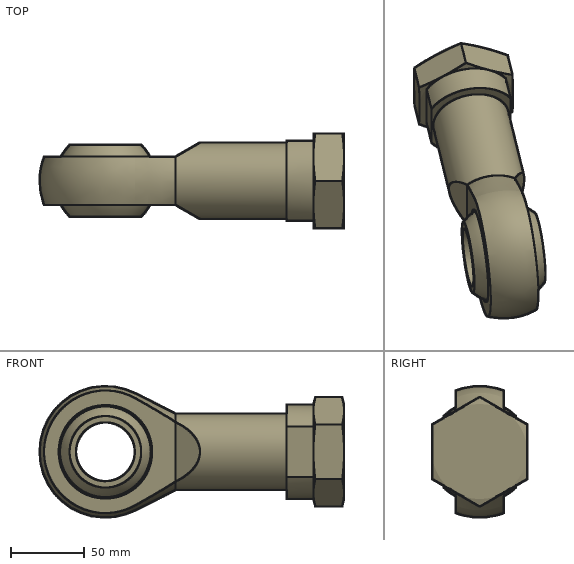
import cadquery as cq
import math

overall_length = 208.0

eye_diameter = 90.0
eye_thickness = 33.0
eye_radius = eye_diameter / 2
eye_opening_diameter = 63.9

shank_diameter = 52.5
shank_radius = shank_diameter / 2
shank_start_x = 47.8
flank_angle = 30.0

collar_start_x = 123.8
collar_diameter = 65.0
collar_flat_width = 55.0

hex_start_x = 142.0
hex_end_x = overall_length - eye_radius
hex_length = hex_end_x - hex_start_x
hex_flat_width = 65.0
hex_corner_radius = hex_flat_width / math.sqrt(3)
hex_chamfer_length = 1.2
hex_face_radius = hex_flat_width / 2

ball_width = 49.3
ball_face_diameter = 48.9
ball_bore_diameter = 40.0
ball_radius = math.hypot(ball_width, ball_face_diameter) / 2


def make_turned_blank():
    """Spherical eye, tangent cone and cylindrical shank, revolved about X."""
    shank_start_distance = math.hypot(shank_start_x, shank_radius)
    tangent_angle = math.atan2(shank_radius, shank_start_x) + math.acos(eye_radius / shank_start_distance)
    tangent_point = (eye_radius * math.cos(tangent_angle), eye_radius * math.sin(tangent_angle))
    mid_angle = (tangent_angle + math.pi) / 2
    arc_middle = (eye_radius * math.cos(mid_angle), eye_radius * math.sin(mid_angle))
    return (
        cq.Workplane("XY")
        .moveTo(-eye_radius, 0)
        .threePointArc(arc_middle, tangent_point)
        .lineTo(shank_start_x, shank_radius)
        .lineTo(hex_start_x, shank_radius)
        .lineTo(hex_start_x, 0)
        .close()
        .revolve(360, (0, 0, 0), (1, 0, 0))
    )


def make_flattening_envelope():
    """Plan outline that gives the eye its flat faces and the shank its sloping flats."""
    half_thickness = eye_thickness / 2
    slope_end_x = shank_start_x + (shank_radius - half_thickness) / math.tan(math.radians(flank_angle))
    return (
        cq.Workplane("XY")
        .moveTo(-eye_radius, -half_thickness)
        .lineTo(shank_start_x, -half_thickness)
        .lineTo(slope_end_x, -shank_radius)
        .lineTo(hex_start_x, -shank_radius)
        .lineTo(hex_start_x, shank_radius)
        .lineTo(slope_end_x, shank_radius)
        .lineTo(shank_start_x, half_thickness)
        .lineTo(-eye_radius, half_thickness)
        .close()
        .extrude(eye_radius, both=True)
    )


def make_collar():
    """Round collar with a wrench flat on the -Y and +Y sides."""
    collar_length = hex_start_x - collar_start_x
    collar_plane = cq.Workplane("YZ", origin=(collar_start_x, 0, 0))
    between_flats = collar_plane.rect(collar_flat_width, collar_diameter).extrude(collar_length)
    return collar_plane.circle(collar_diameter / 2).extrude(collar_length).intersect(between_flats)


def make_hexagon():
    """Hexagon with flats facing -Y and +Y, and corners chamfered at both ends."""
    hexagon = (
        cq.Workplane("YZ", origin=(hex_start_x, 0, 0))
        .polygon(6, 2 * hex_corner_radius)
        .extrude(hex_length)
        .rotate((0, 0, 0), (1, 0, 0), 90)
    )
    chamfer_envelope = (
        cq.Workplane("XY")
        .moveTo(hex_start_x, 0)
        .lineTo(hex_start_x, hex_face_radius)
        .lineTo(hex_start_x + hex_chamfer_length, hex_corner_radius)
        .lineTo(hex_end_x - hex_chamfer_length, hex_corner_radius)
        .lineTo(hex_end_x, hex_face_radius)
        .lineTo(hex_end_x, 0)
        .close()
        .revolve(360, (0, 0, 0), (1, 0, 0))
    )
    return hexagon.intersect(chamfer_envelope)


def make_seat():
    """Sphere that holds the ball, revolved about Y and limited to the eye thickness."""
    half_thickness = eye_thickness / 2
    opening_radius = math.sqrt(ball_radius**2 - half_thickness**2)
    return (
        cq.Workplane("XY")
        .moveTo(0, -half_thickness)
        .lineTo(opening_radius, -half_thickness)
        .threePointArc((ball_radius, 0), (opening_radius, half_thickness))
        .lineTo(0, half_thickness)
        .close()
        .revolve(360, (0, 0, 0), (0, 1, 0))
    )


def make_countersink(side):
    """45 degree cone narrowing inward from the eye face on the given Y side (-1 or +1)."""
    face_y = side * eye_thickness / 2
    opening_radius = eye_opening_diameter / 2
    return (
        cq.Workplane("XY")
        .moveTo(0, face_y)
        .lineTo(opening_radius, face_y)
        .lineTo(0, face_y - side * opening_radius)
        .close()
        .revolve(360, (0, 0, 0), (0, 1, 0))
    )


def make_rod_end():
    """Eye with a spherical seat, shank, collar and hexagon as one body."""
    body = make_turned_blank().intersect(make_flattening_envelope())
    body = body.union(make_collar()).union(make_hexagon())
    body = body.cut(make_seat())
    for side in (-1, 1):
        body = body.cut(make_countersink(side))
    return body


def make_ball():
    """Sphere with two flat faces and a through bore, revolved about Y."""
    bore_radius = ball_bore_diameter / 2
    face_radius = ball_face_diameter / 2
    half_width = ball_width / 2
    return (
        cq.Workplane("XY")
        .moveTo(bore_radius, -half_width)
        .lineTo(face_radius, -half_width)
        .threePointArc((ball_radius, 0), (face_radius, half_width))
        .lineTo(bore_radius, half_width)
        .close()
        .revolve(360, (0, 0, 0), (0, 1, 0))
    )


rod_end = make_rod_end()
ball = make_ball()

result = cq.Compound.makeCompound([*rod_end.solids().vals(), ball.val()])